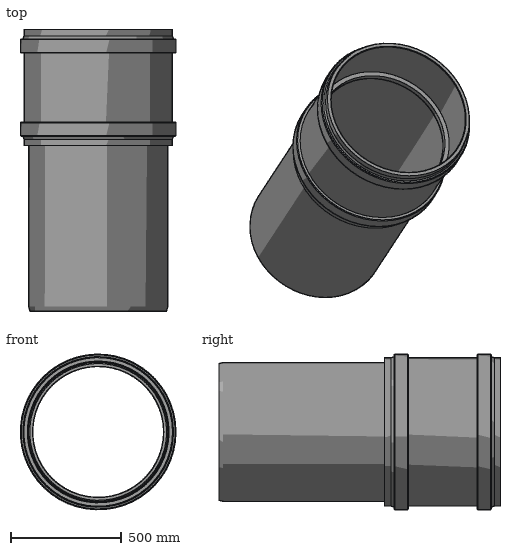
import math

import cadquery as cq

total_length = 1276.0
back_end = total_length / 2
front_end = -total_length / 2

pipe_outer_radius = 630.0 / 2
pipe_bore_radius = 591.4 / 2
pipe_length = 1000.0
tip_chamfer_length = 20.0
tip_chamfer_angle = 15.0
tip_radius = pipe_outer_radius - tip_chamfer_length * math.tan(math.radians(tip_chamfer_angle))
pipe_inner_end = front_end + pipe_length

sleeve_length = 526.0
sleeve_outer_radius = 672.6 / 2
socket_radius = 635.8 / 2
mouth_chamfer = 3.0
sleeve_front = back_end - sleeve_length
sleeve_center = back_end - sleeve_length / 2

stop_radius = 594.8 / 2
stop_half_width = sleeve_center - pipe_inner_end

collar_radius = 704.8 / 2
collar_width = 65.0
collar_end_distance = 42.5
collar_edge_chamfer = 4.0

end_band_width = 29.0
cone_top_radius = 682.0 / 2


def spin(profile):
    """Turn a closed half-section in the XY plane fully around the Y axis."""
    return profile.revolve(360, (0, 0, 0), (0, 1, 0))


def sleeve_tube():
    """Plain sleeve wall with a lead-in chamfer inside each mouth."""
    mouth_radius = socket_radius + mouth_chamfer
    profile = (
        cq.Workplane("XY")
        .moveTo(mouth_radius, sleeve_front)
        .lineTo(sleeve_outer_radius, sleeve_front)
        .lineTo(sleeve_outer_radius, back_end)
        .lineTo(mouth_radius, back_end)
        .lineTo(socket_radius, back_end - mouth_chamfer)
        .lineTo(socket_radius, sleeve_front + mouth_chamfer)
        .close()
    )
    return spin(profile)


def stop_ring():
    """Inner ring reaching from the sleeve wall down to just outside the pipe bore."""
    stop_start = sleeve_center - stop_half_width
    stop_end = sleeve_center + stop_half_width
    profile = (
        cq.Workplane("XY")
        .moveTo(stop_radius, stop_start)
        .lineTo(sleeve_outer_radius, stop_start)
        .lineTo(sleeve_outer_radius, stop_end)
        .lineTo(stop_radius, stop_end)
        .close()
    )
    return spin(profile)


def pipe():
    """Straight pipe with a long chamfer on its free end."""
    profile = (
        cq.Workplane("XY")
        .moveTo(pipe_bore_radius, front_end)
        .lineTo(tip_radius, front_end)
        .lineTo(pipe_outer_radius, front_end + tip_chamfer_length)
        .lineTo(pipe_outer_radius, pipe_inner_end)
        .lineTo(pipe_bore_radius, pipe_inner_end)
        .close()
    )
    return spin(profile)


def collar(end, inward):
    """Seal collar and lead-up cone; inward is the Y direction from the sleeve end to its middle."""
    outer_face = end + inward * collar_end_distance
    inner_face = outer_face + inward * collar_width
    chamfer = inward * collar_edge_chamfer
    profile = (
        cq.Workplane("XY")
        .moveTo(socket_radius, end + inward * end_band_width)
        .lineTo(sleeve_outer_radius, end + inward * end_band_width)
        .lineTo(cone_top_radius, outer_face)
        .lineTo(collar_radius - collar_edge_chamfer, outer_face)
        .lineTo(collar_radius, outer_face + chamfer)
        .lineTo(collar_radius, inner_face - chamfer)
        .lineTo(collar_radius - collar_edge_chamfer, inner_face)
        .lineTo(socket_radius, inner_face)
        .close()
    )
    return spin(profile)


sleeve = sleeve_tube().union(stop_ring())
sleeve = sleeve.union(collar(back_end, -1)).union(collar(sleeve_front, 1))

result = sleeve.union(pipe())